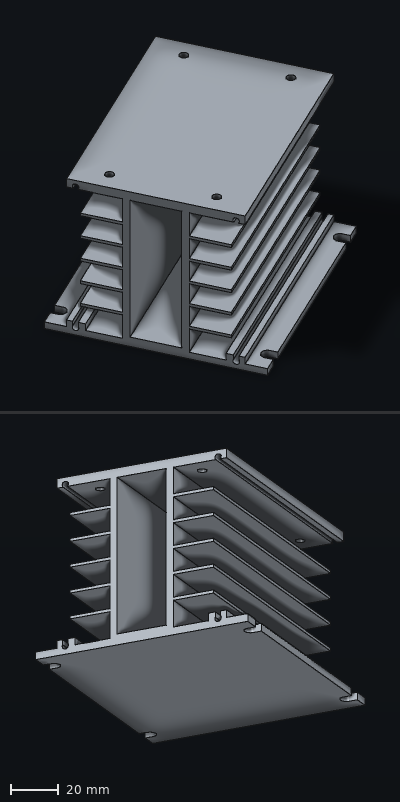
import cadquery as cq

length = 110.0
height = 80.0

base_width = 100.0
base_thickness = 3.5
top_width = 80.0
top_thickness = 4.4

box_width = 30.0
channel_width = 23.0
channel_floor = 5.0

fin_span = 67.6
fin_thickness = 1.4
fin_count = 5
fin_pitch = 11.7
lowest_fin_height = 16.3

rib_top = 6.9
rib_pair_width = 8.6
groove_diameter = 2.9
groove_mouth_width = 2.5
groove_offset = 36.0
lower_groove_bottom = 2.4
upper_groove_roof = 2.0

hole_diameter = 4.1
hole_spacing_x = 48.0
hole_spacing_y = 92.0

slot_width = 5.5
slot_depth = 6.5
slot_spacing_y = 90.0


def bar(width, bottom, top, center_x=0.0):
    """Full-length rectangular bar between two heights."""
    return (
        cq.Workplane("XY", origin=(center_x, 0, bottom))
        .rect(width, length)
        .extrude(top - bottom)
    )


def lengthwise_rod(center_x, center_z):
    """Full-length rod for the round part of a groove."""
    return (
        cq.Workplane("XZ", origin=(center_x, length / 2, center_z))
        .circle(groove_diameter / 2)
        .extrude(length)
    )


def mounting_slot(side, center_y):
    """Round-ended slot cut inwards from one edge of the base."""
    radius = slot_width / 2
    edge_x = side * base_width / 2
    round_x = edge_x - side * (slot_depth - radius)
    round_end = cq.Workplane("XY").center(round_x, center_y).circle(radius).extrude(base_thickness)
    opening = (
        cq.Workplane("XY")
        .center((edge_x + round_x) / 2, center_y)
        .rect(abs(edge_x - round_x), slot_width)
        .extrude(base_thickness)
    )
    return round_end.union(opening)


top_underside = height - top_thickness
body = bar(base_width, 0, base_thickness)
body = body.union(bar(top_width, top_underside, height))
body = body.union(bar(box_width, 0, height))

for index in range(fin_count):
    fin_bottom = lowest_fin_height + index * fin_pitch - fin_thickness / 2
    body = body.union(bar(fin_span, fin_bottom, fin_bottom + fin_thickness))
body = body.cut(bar(channel_width, channel_floor, top_underside))

for side in (-1, 1):
    rib_x = side * (top_width - rib_pair_width) / 2
    body = body.union(bar(rib_pair_width, 0, rib_top, rib_x))

groove_radius = groove_diameter / 2
lower_round_z = lower_groove_bottom + groove_radius
upper_round_z = height - upper_groove_roof - groove_radius
for side in (-1, 1):
    groove_x = side * groove_offset
    body = body.cut(bar(groove_mouth_width, lower_round_z, rib_top, groove_x))
    body = body.cut(lengthwise_rod(groove_x, lower_round_z))
    body = body.cut(lengthwise_rod(groove_x, upper_round_z))

holes = (
    cq.Workplane("XY", origin=(0, 0, top_underside))
    .rect(hole_spacing_x, hole_spacing_y, forConstruction=True)
    .vertices()
    .circle(hole_diameter / 2)
    .extrude(top_thickness)
)
body = body.cut(holes)

for side in (-1, 1):
    for end in (-1, 1):
        body = body.cut(mounting_slot(side, end * slot_spacing_y / 2))

result = body